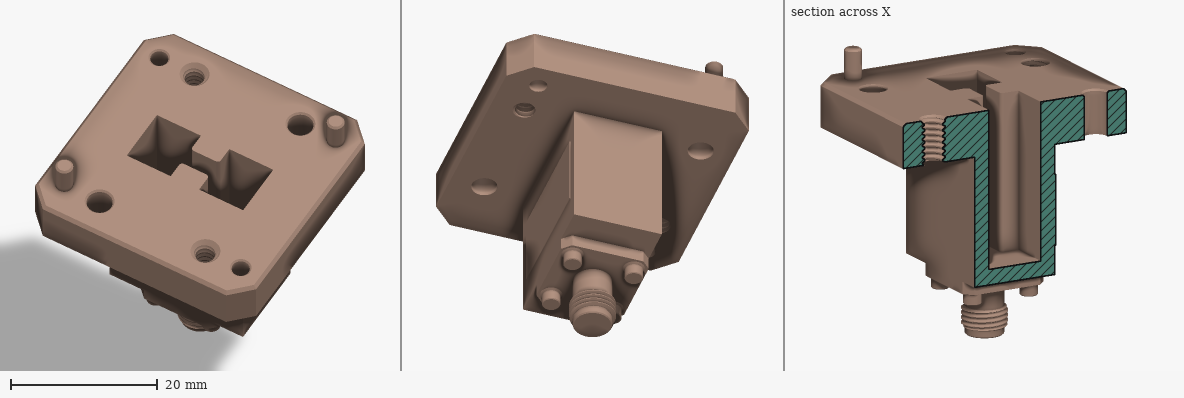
import cadquery as cq
import math


flange_side = 35.0
flange_thickness = 6.4
flange_corner_cut = 3.0
flange_edge_chamfer = 0.45

body_length = 21.1
body_width = 12.65
body_height = 18.5
label_length = 17.93
label_height = 10.15
label_thickness = 0.1

cavity_length = 18.43
cavity_width = 8.07
ridge_width = 4.5
ridge_gap = 2.6
ridge_corner_radius = 0.5
cavity_end_wall = (body_width - cavity_width) / 2
cavity_depth = flange_thickness + body_height - cavity_end_wall

pin_offset_x = 13.95
pin_offset_y = 12.7
pin_diameter = 2.45
pin_height = 4.35
pin_chamfer = 0.27
pin_hole_diameter = 2.5
pin_hole_mouth = 2.95

bolt_offset_x = 8.4
clearance_diameter = 3.57
bolt_mouth = 4.07
tap_minor_diameter = 2.7
tap_major_diameter = 3.55
tap_pitch = 0.85
tap_chamfer = (bolt_mouth - tap_minor_diameter) / 2
tap_overrun = 0.75

mount_thickness = 1.8
mount_corner_cut = 1.2
screw_offset = 4.42
screw_head_diameter = 2.52
screw_head_height = 1.75
screw_head_chamfer = 0.1
screw_collar_diameter = 3.1
screw_collar_height = 0.25
barrel_diameter = 5.4
barrel_length = 7.75
barrel_chamfer = 0.15
barrel_thread_diameter = 6.45
barrel_thread_pitch = 0.7
barrel_thread_start = 1.1
barrel_thread_length = 2.95
barrel_thread_chamfer = 0.3
barrel_thread_run_in = 0.65

trim_clearance = 0.1
tooth_base_share = 0.9
tooth_crest_share = 0.15
tooth_overlap = 0.08

body_bottom = -flange_thickness - body_height
mount_bottom = body_bottom - mount_thickness
barrel_bottom = mount_bottom - barrel_length


def block(length, width, top, height):
    """Box centred on the Z axis, hanging down from z = top."""
    return cq.Workplane("XY").workplane(offset=top - height).rect(length, width).extrude(height)


def cylinder(x, y, bottom, diameter, height):
    return cq.Workplane("XY", origin=(x, y, bottom)).circle(diameter / 2).extrude(height)


def cone(x, y, bottom, bottom_diameter, top_diameter, height):
    solid = cq.Solid.makeCone(bottom_diameter / 2, top_diameter / 2, height, cq.Vector(x, y, bottom))
    return cq.Workplane(obj=solid)


def thread_ridge(root_radius, crest_radius, pitch, turns):
    """Right-hand helical ridge rising along +Z, with its first crest at (crest_radius, 0, 0)."""
    outward = math.copysign(1, crest_radius - root_radius)
    base = pitch * tooth_base_share / 2
    crest = pitch * tooth_crest_share / 2
    foot_radius = root_radius - outward * tooth_overlap
    helix = cq.Wire.makeHelix(pitch, pitch * turns, root_radius)
    tooth = cq.Workplane("XZ").polyline([
        (foot_radius, -base),
        (crest_radius, -crest),
        (crest_radius, crest),
        (foot_radius, base),
    ]).close()
    return tooth.sweep(cq.Workplane(obj=helix), isFrenet=True)


def flange_hole(x, y, diameter, mouth_diameter):
    """Cutter for a hole through the flange with a 45-degree chamfer at the mating face."""
    hole = cylinder(x, y, -flange_thickness, diameter, flange_thickness)
    depth = (mouth_diameter - diameter) / 2
    return hole.union(cone(x, y, -depth, diameter, mouth_diameter, depth))


def tapped_hole(x, y):
    """Cutter for a threaded hole, running past both faces of the flange."""
    core_length = flange_thickness + 2 * (tap_overrun + tap_pitch)
    core_bottom = -flange_thickness - tap_overrun - tap_pitch
    core = cylinder(0, 0, core_bottom, tap_minor_diameter, core_length)
    turns = math.floor((flange_thickness + 2 * tap_overrun) / tap_pitch)
    groove = thread_ridge(tap_minor_diameter / 2, tap_major_diameter / 2, tap_pitch, turns)
    groove = groove.translate((0, 0, -flange_thickness - tap_overrun))
    return core.union(groove, clean=False).translate((x, y, 0))


def make_flange():
    flange = block(flange_side, flange_side, 0, flange_thickness)
    flange = flange.edges("|Z").chamfer(flange_corner_cut)
    flange = flange.faces(">Z").edges().chamfer(flange_edge_chamfer)
    for side in (1, -1):
        pin_x, pin_y = side * pin_offset_x, side * pin_offset_y
        bolt_x = side * bolt_offset_x
        flange = flange.cut(flange_hole(-pin_x, pin_y, pin_hole_diameter, pin_hole_mouth))
        flange = flange.cut(flange_hole(bolt_x, pin_y, clearance_diameter, bolt_mouth))
        lead_in = cone(-bolt_x, pin_y, -tap_chamfer, tap_minor_diameter, bolt_mouth, tap_chamfer)
        flange = flange.cut(lead_in)
        flange = flange.cut(tapped_hole(-bolt_x, pin_y), clean=False)
        pin = cylinder(pin_x, pin_y, -flange_thickness, pin_diameter, flange_thickness + pin_height)
        flange = flange.union(pin.faces(">Z").chamfer(pin_chamfer))
    return flange


def make_body():
    body = block(body_length, body_width, -flange_thickness, body_height)
    label_top = -flange_thickness - (body_height - label_height) / 2
    label = block(label_length, body_width, label_top, label_height)
    return body.union(label.translate((0, -label_thickness, 0)))


def make_cavity():
    cavity = block(cavity_length, cavity_width, 0, cavity_depth)
    ridge_height = (cavity_width - ridge_gap) / 2
    for side in (1, -1):
        ridge = block(ridge_width, ridge_height, 0, cavity_depth)
        inner_face = "<Y" if side > 0 else ">Y"
        ridge = ridge.faces(inner_face).edges("|Z").fillet(ridge_corner_radius)
        cavity = cavity.cut(ridge.translate((0, side * (ridge_gap + ridge_height) / 2, 0)))
    return cavity


def make_connector():
    mount = block(body_width, body_width, body_bottom, mount_thickness)
    connector = mount.edges("|Z").chamfer(mount_corner_cut)

    head_bottom = mount_bottom - screw_head_height
    collar_bottom = mount_bottom - screw_collar_height
    for x in (-screw_offset, screw_offset):
        for y in (-screw_offset, screw_offset):
            collar = cone(
                x, y, collar_bottom, screw_head_diameter, screw_collar_diameter, screw_collar_height
            )
            head = cylinder(x, y, head_bottom, screw_head_diameter, screw_head_height)
            head = head.faces("<Z").chamfer(screw_head_chamfer)
            connector = connector.union(collar).union(head)

    barrel = cylinder(0, 0, barrel_bottom, barrel_diameter, barrel_length)
    barrel = barrel.faces("<Z").chamfer(barrel_chamfer)
    thread_bottom = barrel_bottom + barrel_thread_start
    turns = math.ceil((barrel_thread_length + 2 * barrel_thread_run_in) / barrel_thread_pitch)
    thread = thread_ridge(barrel_diameter / 2, barrel_thread_diameter / 2, barrel_thread_pitch, turns)
    thread = thread.rotate((0, 0, 0), (0, 0, 1), 180)
    thread = thread.translate((0, 0, thread_bottom - barrel_thread_run_in))
    envelope_diameter = barrel_thread_diameter + 2 * trim_clearance
    envelope = cylinder(0, 0, thread_bottom, envelope_diameter, barrel_thread_length)
    envelope = envelope.edges("%CIRCLE").chamfer(barrel_thread_chamfer + trim_clearance)
    thread = thread.intersect(envelope)
    return connector.union(barrel).union(thread, clean=False)


result = make_flange()
result = result.union(make_body(), clean=False)
result = result.cut(make_cavity(), clean=False)
result = result.union(make_connector(), clean=False)